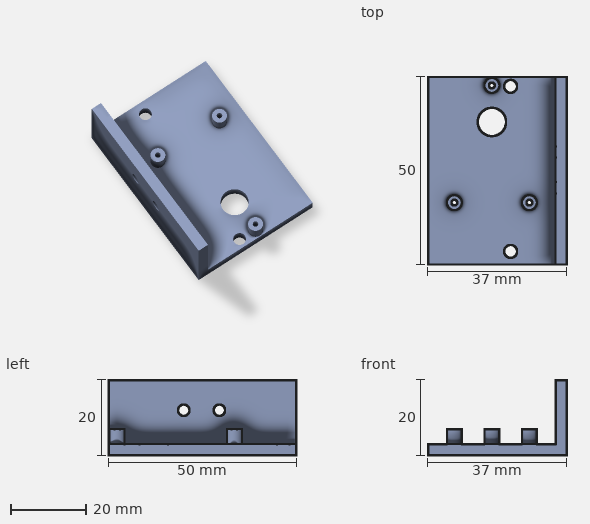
import cadquery as cq

length_x = 37.0
width_y = 50.0
height_z = 20.0
plate_thickness = 3.0
base_length = length_x - plate_thickness

post_diameter = 4.0
post_height = 4.0
post_bore_diameter = 1.5
post_spacing = 20.0
post_center_x = base_length / 2
front_post_y = 16.5
back_post_y = 47.75
post_points = [
    (post_center_x - post_spacing / 2, front_post_y),
    (post_center_x + post_spacing / 2, front_post_y),
    (post_center_x, back_post_y),
]

cable_hole_diameter = 7.5
cable_hole_y = 38.0
base_screw_diameter = 3.4
base_screw_x = 22.0
base_screw_ys = (3.5, 47.5)

wall_hole_diameter = 3.0
wall_hole_z = 12.0
wall_hole_ys = (20.5, 30.0)


def make_plates():
    """Base plate and upright wall, with the outer corner at the origin."""
    base = cq.Workplane("XY").box(base_length, width_y, plate_thickness, centered=False)
    wall = (
        cq.Workplane("XY")
        .box(plate_thickness, width_y, height_z, centered=False)
        .translate((base_length, 0, 0))
    )
    return base.union(wall)


def make_posts():
    """Solid standoffs, standing on the underside plane so they fuse with the base."""
    return (
        cq.Workplane("XY")
        .pushPoints(post_points)
        .circle(post_diameter / 2)
        .extrude(plate_thickness + post_height)
    )


def vertical_holes(points, diameter):
    """Cutters along Z that pass through the base and any post above it."""
    return cq.Workplane("XY").pushPoints(points).circle(diameter / 2).extrude(height_z)


def wall_holes():
    """Cutters along X that pass through the wall only."""
    return (
        cq.Workplane("YZ", origin=(base_length, 0, 0))
        .pushPoints([(y, wall_hole_z) for y in wall_hole_ys])
        .circle(wall_hole_diameter / 2)
        .extrude(plate_thickness)
    )


result = (
    make_plates()
    .union(make_posts())
    .cut(vertical_holes(post_points, post_bore_diameter))
    .cut(vertical_holes([(post_center_x, cable_hole_y)], cable_hole_diameter))
    .cut(vertical_holes([(base_screw_x, y) for y in base_screw_ys], base_screw_diameter))
    .cut(wall_holes())
)